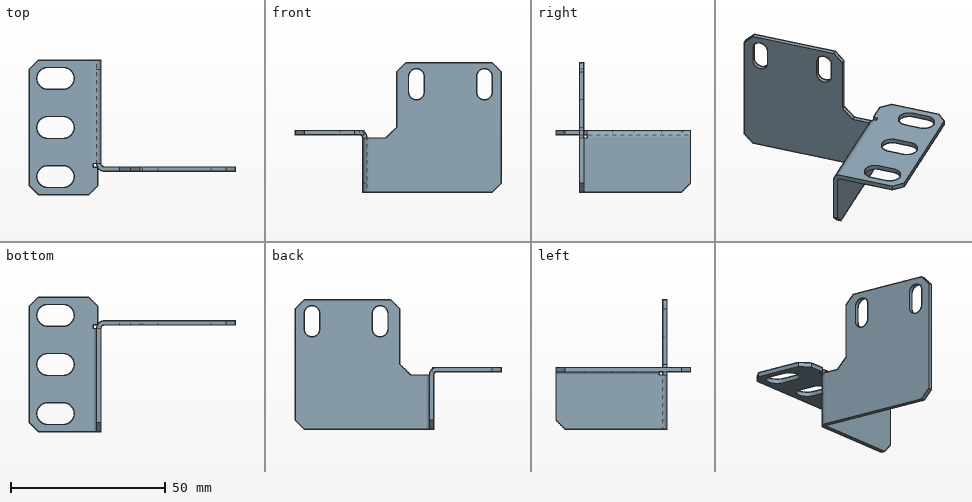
import cadquery as cq

thickness = 1.5
inner_radius = 1.0
outer_radius = inner_radius + thickness
corner_chamfer = 3.0

total_x = 66.8
flange_length = 43.6
plate_height = 42.0

web_outer_x = 23.3
web_inner_x = web_outer_x - thickness
web_top = 17.65

flange_bend_x = web_outer_x - outer_radius
flange_top = web_top + outer_radius
flange_bottom = flange_top - thickness
tab_end_x = 22.3
tab_length = 8.95

plate_front_y = 7.6
plate_back_y = plate_front_y + thickness
plate_bend_x = web_inner_x + outer_radius
plate_bend_y = plate_front_y + outer_radius
upper_left_x = 32.85
step_start_x = 29.3
step_rise = 3.4

flange_slot_length = 12.0
flange_slot_width = 7.0
flange_slot_x = 8.55
flange_slot_pitch = 15.9
flange_slot_count = 3
plate_slot_length = 10.0
plate_slot_width = 5.0
plate_slot_z = 35.0
plate_slot_centres_x = (39.3, 61.3)


def quarter_bend(plane, height):
    """Quarter ring in the plane's first quadrant, extruded along its normal."""
    ring = cq.Workplane(plane).circle(outer_radius).circle(inner_radius).extrude(height)
    quadrant = cq.Workplane(plane).rect(outer_radius, outer_radius, centered=False).extrude(height)
    return ring.intersect(quadrant)


def make_flange():
    flange = (
        cq.Workplane("XY", origin=(0, 0, flange_bottom))
        .moveTo(corner_chamfer, 0)
        .lineTo(tab_end_x - corner_chamfer, 0)
        .lineTo(tab_end_x, corner_chamfer)
        .lineTo(tab_end_x, tab_length)
        .lineTo(flange_bend_x, tab_length)
        .lineTo(flange_bend_x, flange_length)
        .lineTo(corner_chamfer, flange_length)
        .lineTo(0, flange_length - corner_chamfer)
        .lineTo(0, corner_chamfer)
        .close()
        .extrude(thickness)
    )
    slots = (
        cq.Workplane("XY", origin=(flange_slot_x, flange_length / 2, flange_bottom))
        .rarray(0.7, flange_slot_pitch, 1, flange_slot_count)
        .slot2D(flange_slot_length, flange_slot_width)
        .extrude(thickness)
    )
    return flange.cut(slots)


def make_web():
    return (
        cq.Workplane("YZ", origin=(web_inner_x, 0, 0))
        .moveTo(plate_bend_y, 0)
        .lineTo(flange_length - corner_chamfer, 0)
        .lineTo(flange_length, corner_chamfer)
        .lineTo(flange_length, web_top)
        .lineTo(plate_bend_y, web_top)
        .close()
        .extrude(thickness)
    )


def make_plate():
    plate = (
        cq.Workplane("XZ", origin=(0, plate_back_y, 0))
        .moveTo(plate_bend_x, 0)
        .lineTo(total_x - corner_chamfer, 0)
        .lineTo(total_x, corner_chamfer)
        .lineTo(total_x, plate_height - corner_chamfer)
        .lineTo(total_x - corner_chamfer, plate_height)
        .lineTo(upper_left_x + corner_chamfer, plate_height)
        .lineTo(upper_left_x, plate_height - corner_chamfer)
        .lineTo(upper_left_x, web_top + step_rise)
        .lineTo(step_start_x, web_top)
        .lineTo(plate_bend_x, web_top)
        .close()
        .extrude(thickness)
    )
    slots = (
        cq.Workplane("XZ", origin=(0, plate_back_y, 0))
        .pushPoints([(x, plate_slot_z) for x in plate_slot_centres_x])
        .slot2D(plate_slot_length, plate_slot_width, 90)
        .extrude(thickness)
    )
    return plate.cut(slots)


flange_bend = quarter_bend(
    cq.Plane(origin=(flange_bend_x, flange_length, web_top), xDir=(1, 0, 0), normal=(0, -1, 0)),
    flange_length - plate_bend_y,
)

plate_bend = quarter_bend(
    cq.Plane(origin=(plate_bend_x, plate_bend_y, 0), xDir=(-1, 0, 0), normal=(0, 0, 1)),
    web_top,
)

result = make_flange().union(flange_bend).union(make_web()).union(plate_bend).union(make_plate())